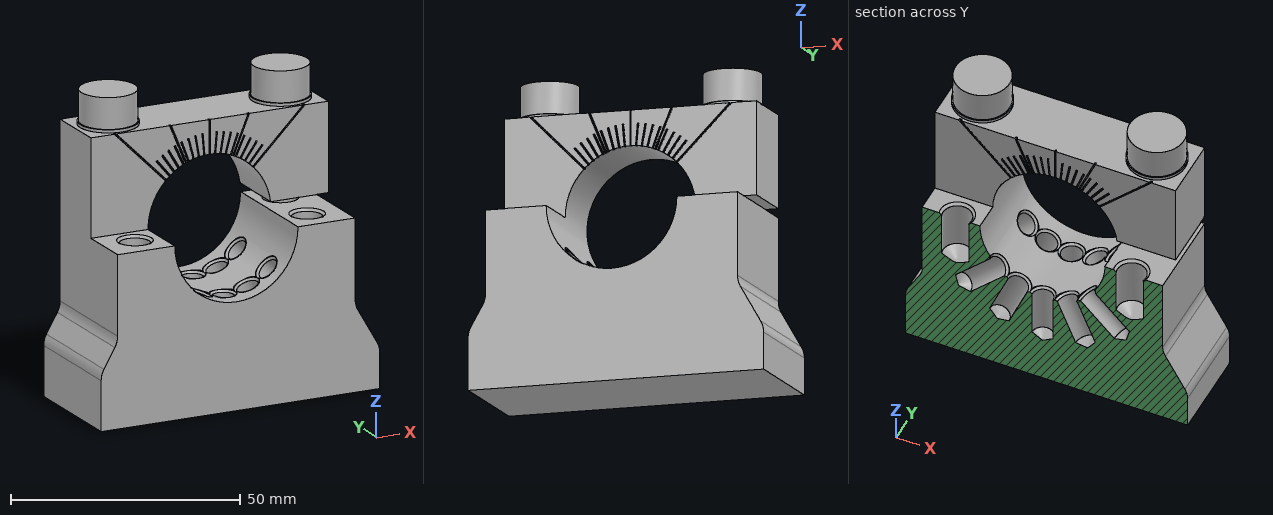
import cadquery as cq
import math

depth = 28.0
foot_left = 33.0
foot_right = 35.0
body_half_width = 29.0
body_height = 63.0
flank_angle = 60.0
flank_top_height = 20.0
flank_fillet = 5.0
clearance = 1.0

bore_radius = 15.0
bore_height = 40.0
inner_radius = bore_radius / 2
cap_depth = 15.0
cap_front = depth - cap_depth
clamp_gap = 2.0

screw_x = 21.0
screw_row_spacing = 13.0
rear_row_y = depth - cap_depth / 2
front_row_y = rear_row_y - screw_row_spacing
shank_diameter = 8.0
head_diameter = 13.0
head_height = 8.0
collar_diameter = 13.6
collar_height = 0.7
screw_hole_diameter = 6.8
screw_hole_depth = 12.0
drill_point_angle = 118.0

radial_hole_diameter = 5.0
radial_mouth_diameter = 6.0
radial_hole_depth = 12.0
radial_front_y = cap_front / 2
radial_rear_y = depth - radial_front_y

index_step = 22.5
index_angles = [index_step * i for i in range(-2, 3)]

short_mark_step = 5.0
short_mark_angles = [short_mark_step * i for i in range(-8, 9) if i != 0]
short_mark_radius = 20.0
long_mark_radius = math.hypot(body_height - bore_height, body_half_width)
mark_width = 0.3
mark_depth = 0.5


def make_block():
    """Body on a wider foot, joined by sloping flanks with rounded corners."""
    slope = math.tan(math.radians(flank_angle))
    left_shoulder = flank_top_height - (foot_left - body_half_width) * slope
    right_shoulder = flank_top_height - (foot_right - body_half_width) * slope
    outline = [
        (-foot_left, 0),
        (foot_right, 0),
        (foot_right, right_shoulder),
        (body_half_width, flank_top_height),
        (body_half_width, body_height),
        (-body_half_width, body_height),
        (-body_half_width, flank_top_height),
        (-foot_left, left_shoulder),
    ]
    block = cq.Workplane("XZ").polyline(outline).close().extrude(-depth)
    flank_bottom = min(left_shoulder, right_shoulder)
    flank_zone = cq.selectors.BoxSelector(
        (-foot_left - clearance, 0, flank_bottom - clearance),
        (foot_right + clearance, depth, flank_top_height + clearance),
    )
    return block.edges("|Y").edges(flank_zone).fillet(flank_fillet)


def make_box(x_range, y_range, z_range):
    """Box spanning the given ranges."""
    ranges = (x_range, y_range, z_range)
    corner = cq.Vector(*[low for low, high in ranges])
    sizes = [high - low for low, high in ranges]
    return cq.Workplane(cq.Solid.makeBox(*sizes, corner))


def cut_bore_and_cap(block):
    """Step the block down in front of the cap, bore it and open the clamping gap."""
    step = make_box((-body_half_width, body_half_width), (0, cap_front), (bore_height, body_height))
    bore = cq.Workplane("XZ").center(0, bore_height).circle(bore_radius).extrude(-depth)
    gap = make_box((0, body_half_width), (cap_front, depth), (bore_height, bore_height + clamp_gap))
    return block.cut(step).cut(bore).cut(gap)


def make_drill(diameter, mouth_diameter, hole_depth, lead_in):
    """Downward hole from z = 0 with a 45 degree mouth chamfer and a conical bottom."""
    radius = diameter / 2
    mouth_radius = mouth_diameter / 2
    chamfer = mouth_radius - radius
    point = radius / math.tan(math.radians(drill_point_angle / 2))
    profile = [
        (0, lead_in),
        (mouth_radius, lead_in),
        (mouth_radius, 0),
        (radius, -chamfer),
        (radius, -hole_depth),
        (0, -hole_depth - point),
    ]
    return cq.Workplane("XZ").polyline(profile).close().revolve(360, (0, 0), (0, 1))


def cut_screw_holes(block):
    """Free screw holes in the step in front of the cap."""
    drill = make_drill(screw_hole_diameter, shank_diameter, screw_hole_depth, lead_in=clearance)
    for x in (-screw_x, screw_x):
        block = block.cut(drill.translate((x, front_row_y, bore_height)))
    return block


def cut_radial_holes(block):
    """Two rows of holes fanned around the bottom of the bore."""
    drill = make_drill(
        radial_hole_diameter, radial_mouth_diameter, radial_hole_depth, lead_in=bore_radius - inner_radius
    ).translate((0, 0, -bore_radius))
    for angle in index_angles:
        fanned = drill.rotate((0, 0, 0), (0, 1, 0), angle)
        for y in (radial_front_y, radial_rear_y):
            block = block.cut(fanned.translate((0, y, bore_height)))
    return block


def make_mark(angle, outer_radius):
    """Radial groove running outward from inside the bore."""
    groove = make_box(
        (-mark_width / 2, mark_width / 2),
        (cap_front, cap_front + mark_depth),
        (inner_radius, outer_radius),
    )
    return groove.rotate((0, 0, 0), (0, 1, 0), angle).translate((0, 0, bore_height))


def cut_graduations(block):
    """Long marks reach the top of the cap, short marks stop partway."""
    for angle in index_angles:
        block = block.cut(make_mark(angle, long_mark_radius))
    for angle in short_mark_angles:
        block = block.cut(make_mark(angle, short_mark_radius))
    return block


def make_cylinder(diameter, height, x, z):
    """Upright cylinder in the rear screw row, starting at height z."""
    return cq.Workplane(cq.Solid.makeCylinder(diameter / 2, height, cq.Vector(x, rear_row_y, z)))


def add_screws(block):
    """Screw heads on the cap, and the shank crossing the clamping gap."""
    for x in (-screw_x, screw_x):
        block = block.union(make_cylinder(collar_diameter, collar_height, x, body_height))
        block = block.union(make_cylinder(head_diameter, head_height, x, body_height))
    return block.union(make_cylinder(shank_diameter, clamp_gap, screw_x, bore_height))


result = make_block()
result = cut_bore_and_cap(result)
result = cut_screw_holes(result)
result = cut_radial_holes(result)
result = cut_graduations(result)
result = add_screws(result)